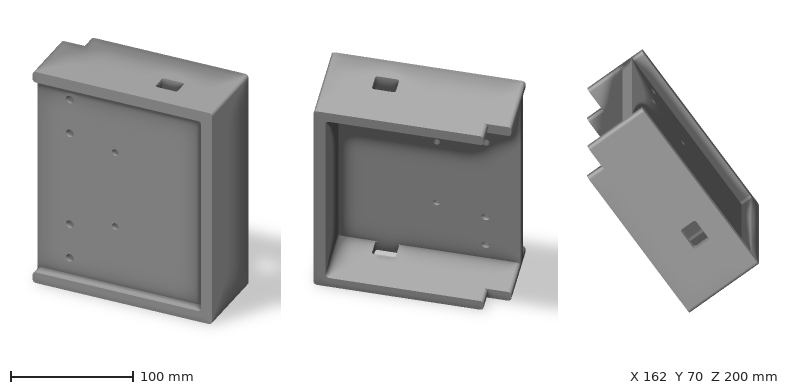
import cadquery as cq

length = 162.0
depth = 70.0
height = 200.0
half_height = height / 2

wall = 10.0
web_front = 10.0
web_thickness = 10.0
web_back = web_front + web_thickness
edge_radius = 3.0

step_length = 20.0
step_depth = 15.0
step_start = depth - step_depth

window_length = 20.0
window_depth = 15.0
window_start = 101.0
window_radius = 2.0

mount_diameter = 7.0
mount_x = 29.0
mount_heights = (43.0, 75.0)
inner_diameter = 6.0
inner_x = 70.0
inner_heights = (35.0,)


def make_box(x_range, y_range, z_range):
    """Box spanning the given (low, high) ranges."""
    lows, highs = zip(x_range, y_range, z_range)
    sizes = [high - low for low, high in zip(lows, highs)]
    return cq.Workplane("XY").box(*sizes, centered=False).translate(lows)


def make_wall(x_start, y_start, y_end):
    """C-shaped wall with rounded corners whose two arms end at x_start."""
    z_range = (-half_height, half_height)
    inner_half_height = half_height - wall
    outer = make_box((x_start, length), (y_start, y_end), z_range)
    opening = make_box(
        (x_start, length - wall),
        (y_start, y_end),
        (-inner_half_height, inner_half_height),
    )
    return outer.cut(opening).edges("|Y").fillet(edge_radius)


def make_web():
    """Plate filling the wall's outline, flush with its rounded outer corners."""
    web = make_box((0, length), (web_front, web_back), (-half_height, half_height))
    return web.edges("|Y").fillet(edge_radius)


def cut_windows(body):
    """Cut the window straight down through both walls."""
    window = make_box(
        (window_start, window_start + window_length),
        (web_back, web_back + window_depth),
        (-half_height, half_height),
    )
    return body.cut(window.edges("|Z").fillet(window_radius))


def cut_web_holes(body, x, heights, diameter):
    """Drill mirrored pairs of holes through the web along Y."""
    for z in heights:
        for side in (-1, 1):
            drill = cq.Workplane("XZ", origin=(x, web_back, side * z))
            body = body.cut(drill.circle(diameter / 2).extrude(web_thickness))
    return body


result = make_web()
result = result.union(make_wall(0, 0, web_front))
result = result.union(make_wall(0, web_back, step_start))
result = result.union(make_wall(step_length, step_start, depth))
result = cut_windows(result)
result = cut_web_holes(result, mount_x, mount_heights, mount_diameter)
result = cut_web_holes(result, inner_x, inner_heights, inner_diameter)